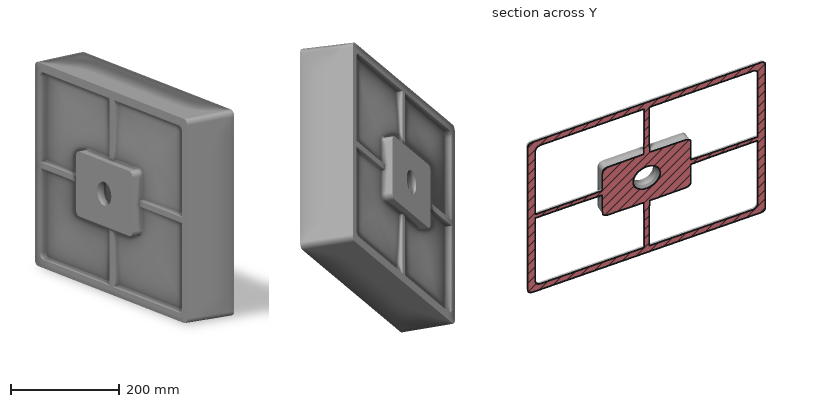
import cadquery as cq

WIDTH = 494.0
HEIGHT = 395.0
TOTAL_DEPTH = 120.0
PAD_HEIGHT = 15.5
BODY_DEPTH = TOTAL_DEPTH - PAD_HEIGHT
DRAFT_INSET = 1.75
CORNER_RADIUS = 10.5

PAD_WIDTH = 182.0
PAD_LENGTH = 124.5
HOLE_DIAMETER = 45.5
HOLE_DEPTH = 15.0
FLARE_DEPTH = 15.0
FLARE_DIAMETER = 73.0

RECESS_WIDTH = 457.5
RECESS_HEIGHT = 359.5
RIB_WIDTH = 11.0
FLOOR_FILLET = 3.5
EDGE_DEPTH = 12.5
CROWN_HEIGHT = 8.0
CUT_DEPTH = 2 * EDGE_DEPTH
FLOOR_OVERHANG = 1.02
FLOOR_GRID = 12


def rounded_prism(width, height, y_start, y_end):
    """Block with rounded corners, centred on the Y axis."""
    return (
        cq.Workplane("XZ", origin=(0, y_end, 0))
        .rect(width, height)
        .extrude(y_end - y_start)
        .edges("|Y")
        .fillet(CORNER_RADIUS)
    )


def drafted_body():
    """Solid slab that narrows slightly toward its front face."""

    def outline(width, height):
        return cq.Sketch().rect(width, height).vertices().fillet(CORNER_RADIUS)

    back = outline(WIDTH, HEIGHT)
    front = outline(WIDTH - 2 * DRAFT_INSET, HEIGHT - 2 * DRAFT_INSET)
    return (
        cq.Workplane("XZ", origin=(0, BODY_DEPTH, 0))
        .placeSketch(back, front.moved(cq.Location(cq.Vector(0, 0, BODY_DEPTH))))
        .loft(ruled=True)
    )


def floor_point(u, v):
    """Point on the domed floor; u and v run from -1 to 1 across the recess."""
    depth = EDGE_DEPTH - CROWN_HEIGHT * (1 - u**2) * (1 - v**2)
    return cq.Vector(u * RECESS_WIDTH / 2, depth, v * RECESS_HEIGHT / 2)


def space_above_floor():
    """Everything in front of the domed floor, out to beyond the front face."""
    steps = [FLOOR_OVERHANG * (2 * i / FLOOR_GRID - 1) for i in range(FLOOR_GRID + 1)]
    floor = cq.Face.makeSplineApprox([[floor_point(u, v) for v in steps] for u in steps])
    return cq.Workplane(cq.Solid.extrudeLinear(floor, cq.Vector(0, -CUT_DEPTH, 0)))


def pockets():
    """Four corner pockets with domed floors and filleted floor edges."""
    recess = rounded_prism(RECESS_WIDTH, RECESS_HEIGHT, 0, CUT_DEPTH)
    pad_core = rounded_prism(PAD_WIDTH, PAD_LENGTH, 0, CUT_DEPTH)
    upright_rib = cq.Workplane("XY").box(RIB_WIDTH, 2 * CUT_DEPTH, HEIGHT)
    level_rib = cq.Workplane("XY").box(WIDTH, 2 * CUT_DEPTH, RIB_WIDTH)
    cavity = recess.cut(pad_core).cut(upright_rib).cut(level_rib)
    cavity = cavity.intersect(space_above_floor())
    return cavity.faces("%BSPLINE").edges().fillet(FLOOR_FILLET)


def flared_hole():
    """Blind hole from the pad face: a straight bore, then a widening cone."""
    bore_radius = HOLE_DIAMETER / 2
    inward = cq.Vector(0, 1, 0)
    mouth = cq.Vector(0, -PAD_HEIGHT, 0)
    bore = cq.Solid.makeCylinder(bore_radius, HOLE_DEPTH, mouth, inward)
    flare_start = mouth + inward * HOLE_DEPTH
    flare = cq.Solid.makeCone(bore_radius, FLARE_DIAMETER / 2, FLARE_DEPTH, flare_start, inward)
    return cq.Workplane(bore).union(cq.Workplane(flare))


pad = rounded_prism(PAD_WIDTH, PAD_LENGTH, -PAD_HEIGHT, 0)
result = drafted_body().cut(pockets()).union(pad).cut(flared_hole())